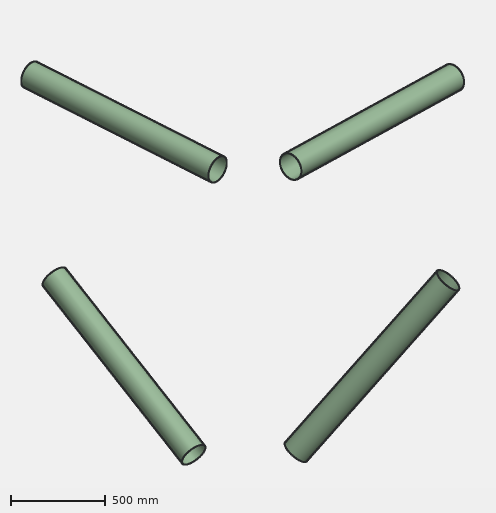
import cadquery as cq

length = 1300.0
outer_diameter = 155.0
wall_thickness = 2.5

outer_radius = outer_diameter / 2
inner_radius = outer_radius - wall_thickness

result = (
    cq.Workplane("YZ", origin=(-length / 2, 0, 0))
    .circle(outer_radius)
    .circle(inner_radius)
    .extrude(length)
)